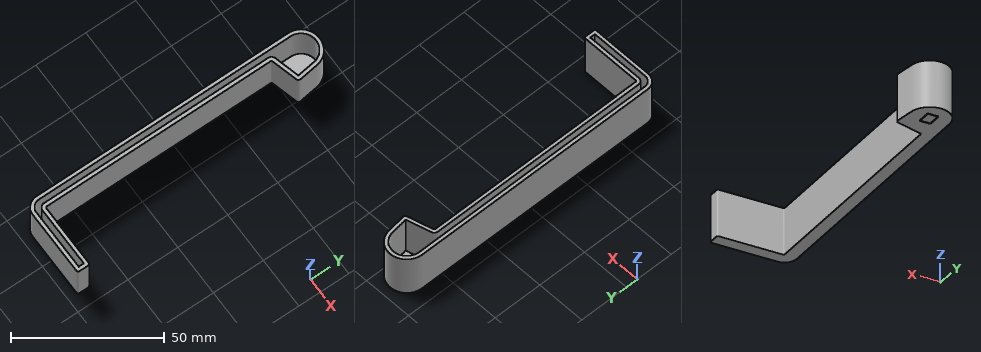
import cadquery as cq
import math

length = 113.0
foot_length = 30.0
total_height = 17.9

wall = 1.5
channel_width = 2.0
strip_thickness = channel_width + 2 * wall
floor_thickness = 1.5

head_radius = 7.5
flank_angle = math.radians(8)
ledge_angle = math.radians(15)
ledge_start_y = 95.5

heel_radius = 4.7
inner_corner_radius = 0.5
foot_tip_radius = 0.7
head_tip_radius = 1.0

pad_height = 0.2
pad_width = 4.0
pad_length = 5.3
pad_center = (7.7, 105.5)

body_height = total_height - pad_height
head_center_y = length - head_radius


def head_tip():
    """Point where the sloping ledge meets the flank tangent to the head arc."""
    cos_a = math.cos(flank_angle)
    sin_a = math.sin(flank_angle)
    slope = math.tan(ledge_angle)
    drop = head_center_y - ledge_start_y + strip_thickness * slope
    x = (head_radius * (1 + cos_a) + drop * sin_a) / (cos_a + slope * sin_a)
    return x, ledge_start_y + (x - strip_thickness) * slope


def outer_body(tip):
    """Solid hook outline extruded to full height, with rounded upright edges."""
    flank_start = (
        head_radius * (1 + math.cos(flank_angle)),
        head_center_y + head_radius * math.sin(flank_angle),
    )
    body = (
        cq.Workplane("XY")
        .moveTo(0, 0)
        .lineTo(foot_length, 0)
        .lineTo(foot_length, strip_thickness)
        .lineTo(strip_thickness, strip_thickness)
        .lineTo(strip_thickness, ledge_start_y)
        .lineTo(*tip)
        .lineTo(*flank_start)
        .threePointArc((head_radius, length), (0, head_center_y))
        .close()
        .extrude(body_height)
    )
    rounded_corners = [
        ((0, 0), heel_radius),
        ((foot_length, 0), foot_tip_radius),
        ((foot_length, strip_thickness), foot_tip_radius),
        ((strip_thickness, strip_thickness), inner_corner_radius),
        ((strip_thickness, ledge_start_y), inner_corner_radius),
        (tip, head_tip_radius),
    ]
    for (x, y), radius in rounded_corners:
        corner = cq.selectors.NearestToPointSelector((x, y, body_height / 2))
        body = body.edges("|Z").edges(corner).fillet(radius)
    return body


def channel(body):
    """Cavity that follows the outline one wall thickness inside, open at the top."""
    return (
        body.faces("<Z")
        .wires()
        .toPending()
        .offset2D(-wall)
        .extrude(body_height, combine=False)
        .translate((0, 0, floor_thickness))
    )


def pad():
    """Shallow rectangular pad on the underside."""
    return (
        cq.Workplane("XY")
        .center(*pad_center)
        .rect(pad_width, pad_length)
        .extrude(-pad_height)
    )


hook = outer_body(head_tip())
result = hook.cut(channel(hook)).union(pad())